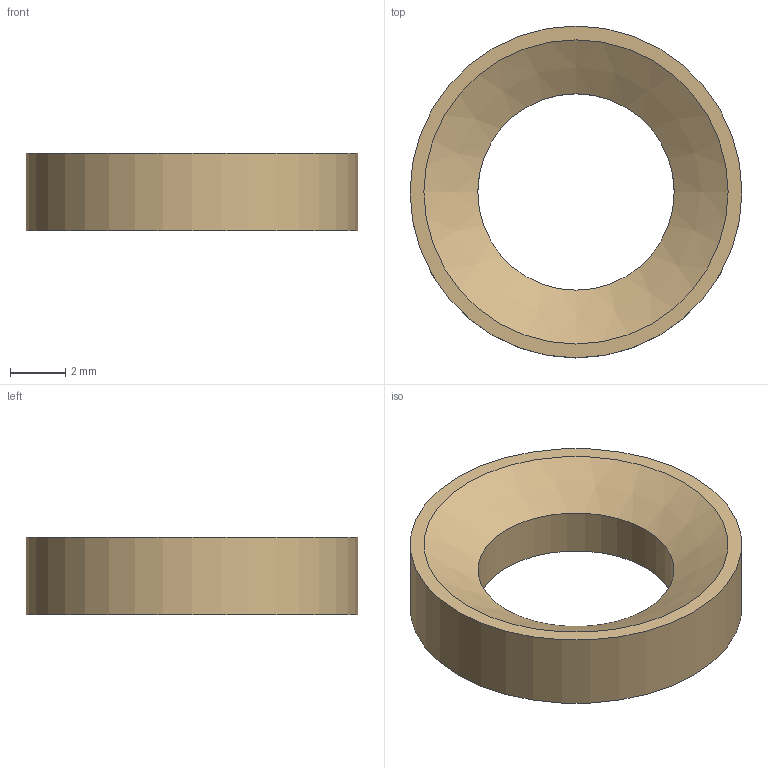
import cadquery as cq
import math

outer_diameter = 12.0
bore_diameter = 7.1
seat_diameter = 11.0
seat_angle = 120.0
height = 2.8

outer_radius = outer_diameter / 2
bore_radius = bore_diameter / 2
seat_radius = seat_diameter / 2
seat_depth = (seat_radius - bore_radius) / math.tan(math.radians(seat_angle / 2))


def washer_section():
    """Half section of the ring: local x is the radius, local y is the height."""
    return (
        cq.Workplane("XZ")
        .moveTo(bore_radius, 0)
        .lineTo(outer_radius, 0)
        .lineTo(outer_radius, height)
        .lineTo(seat_radius, height)
        .lineTo(bore_radius, height - seat_depth)
        .close()
    )


result = washer_section().revolve(360, (0, 0), (0, 1))